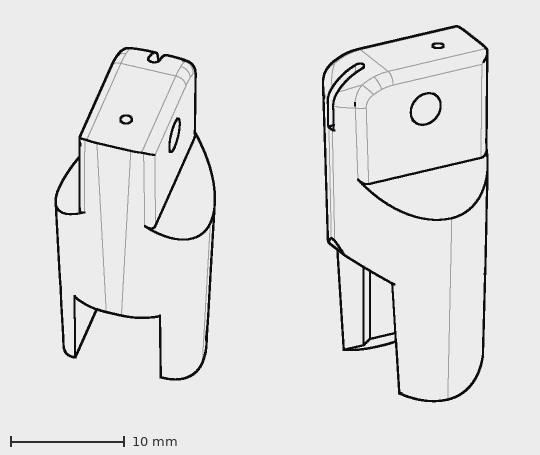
import cadquery as cq
import math

height = 31.3
front_y = -7.17
front_radius = 5.98
back_base_radius = 8.05
back_draft = 0.016
widest_y = front_y + front_radius
bottom_half_width = 6.25
side_draft = 0.041
back_flat_half_width = 0.3

head_half_width = 3.48
shoulder_z = 21.3
shoulder_slope = 0.94
crown_start_y = 2.75
crown_radius = 5.0
crown_back_fillet = 1.88
head_fillet = 0.95

front_gap_half_width = 3.95
front_gap_top = 10.15
back_gap_half_width = 5.1
back_ledge_y = 3.75
back_ledge_z = 11.95
back_ledge_slope = 0.67
back_lip_y = 6.55
back_lip_rise = 1.25
back_lip_run = 0.45

cross_hole_diameter = 3.0
cross_hole_y = -0.5
cross_hole_z = 27.3
wire_hole_diameter = 1.0
wire_hole_front_y = -3.63
wire_hole_back_y = 4.35
wire_slot_floor = 25.67

reach = 18.8


def egg_section(z):
    """Egg-shaped outline at height z, with a flat on the front and back."""
    half_width = bottom_half_width + side_draft * z
    back_radius = back_base_radius + back_draft * z
    front_flat = half_width - front_radius
    back_center_x = half_width - back_radius

    def back_y(x):
        return widest_y + math.sqrt(back_radius**2 - (x - back_center_x) ** 2)

    diagonal = math.sqrt(0.5)
    front_mid = (front_flat + front_radius * diagonal, widest_y - front_radius * diagonal)
    back_mid = (back_center_x + back_radius * diagonal, widest_y + back_radius * diagonal)
    back_end = (back_flat_half_width, back_y(back_flat_half_width))
    return (
        cq.Workplane("XY", origin=(0, 0, z))
        .moveTo(-front_flat, front_y)
        .lineTo(front_flat, front_y)
        .threePointArc(front_mid, (half_width, widest_y))
        .threePointArc(back_mid, back_end)
        .lineTo(-back_end[0], back_end[1])
        .threePointArc((-back_mid[0], back_mid[1]), (-half_width, widest_y))
        .threePointArc((-front_mid[0], front_mid[1]), (-front_flat, front_y))
        .close()
        .wire()
        .val()
    )


def centered_box(half_width, y_min, y_max, z_min, z_max):
    """Box symmetric about the YZ plane."""
    return cq.Workplane("XY").box(
        2 * half_width, y_max - y_min, z_max - z_min, centered=(True, False, False)
    ).translate((0, y_min, z_min))


def make_body(egg):
    """Egg body under the sloping shoulders, with a parallel slope under the legs."""
    ridge_z = shoulder_z + shoulder_slope * head_half_width
    bottom_ridge_z = shoulder_slope * bottom_half_width
    drop = shoulder_slope * reach
    chevron = (
        cq.Workplane("XZ")
        .polyline([
            (0, ridge_z),
            (reach, ridge_z - drop),
            (reach, bottom_ridge_z - drop),
            (0, bottom_ridge_z),
            (-reach, bottom_ridge_z - drop),
            (-reach, ridge_z - drop),
        ])
        .close()
        .extrude(reach, both=True)
    )
    return egg.intersect(chevron)


def make_head(egg):
    """Flat-sided head with a rounded crown at the back and softened edges."""
    head = egg.intersect(centered_box(head_half_width, -reach, reach, shoulder_z - head_fillet, height))
    crown_center_z = height - crown_radius
    crown_end_y = crown_start_y + crown_radius
    crown_mid = (
        crown_start_y + crown_radius * math.sqrt(0.5),
        crown_center_z + crown_radius * math.sqrt(0.5),
    )
    crown_waste = (
        cq.Workplane("YZ")
        .moveTo(crown_start_y, height)
        .threePointArc(crown_mid, (crown_end_y, crown_center_z))
        .lineTo(reach, crown_center_z)
        .lineTo(reach, height)
        .close()
        .extrude(reach, both=True)
    )
    head = head.cut(crown_waste)
    inside_sides = 0.9 * head_half_width
    crown_back_zone = cq.selectors.BoxSelector(
        (-inside_sides, crown_mid[0] - crown_back_fillet, crown_center_z),
        (inside_sides, reach, height - crown_back_fillet / 2),
    )
    head = head.edges(crown_back_zone).fillet(crown_back_fillet)
    return head.faces("<X or >X").edges("not <Z").fillet(head_fillet)


def cut_fork(part):
    """Gap between the legs, wider at the back under a sloping ledge."""
    part = part.cut(centered_box(front_gap_half_width, -reach, reach, -0.3, front_gap_top))
    ledge_start_y = back_ledge_y - (back_ledge_z - front_gap_top) / back_ledge_slope
    lip_z = back_ledge_z + back_ledge_slope * (back_lip_y - back_ledge_y)
    back_gap = (
        cq.Workplane("YZ")
        .polyline([
            (ledge_start_y, -0.3),
            (ledge_start_y, front_gap_top),
            (back_lip_y, lip_z),
            (back_lip_y + back_lip_run, lip_z + back_lip_rise),
            (reach, lip_z + back_lip_rise),
            (reach, -0.3),
        ])
        .close()
        .extrude(back_gap_half_width, both=True)
    )
    return part.cut(back_gap)


def cut_holes(part):
    """Cross hole, two vertical wire holes and the slot leading to the back."""
    cross_hole = (
        cq.Workplane("YZ")
        .center(cross_hole_y, cross_hole_z)
        .circle(cross_hole_diameter / 2)
        .extrude(reach, both=True)
    )
    wire_holes = (
        cq.Workplane("XY")
        .pushPoints([(0, wire_hole_front_y), (0, wire_hole_back_y)])
        .circle(wire_hole_diameter / 2)
        .extrude(height)
    )
    wire_slot = centered_box(wire_hole_diameter / 2, wire_hole_back_y, reach, wire_slot_floor, height)
    return part.cut(cross_hole).cut(wire_holes).cut(wire_slot)


egg = cq.Workplane(cq.Solid.makeLoft([egg_section(0), egg_section(height)], True))
result = cut_holes(cut_fork(make_body(egg).union(make_head(egg))))